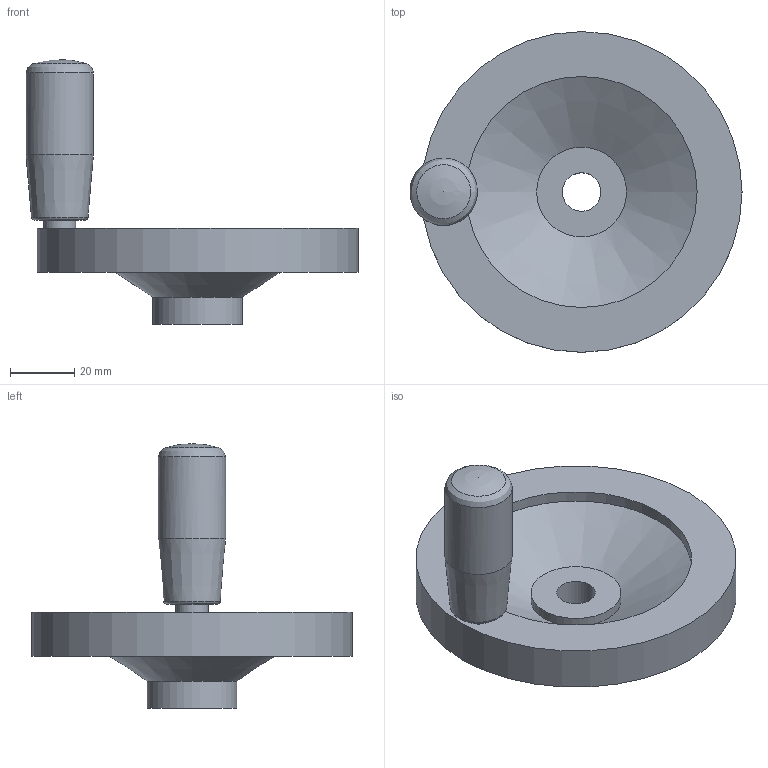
import cadquery as cq
import math

wheel_radius = 50.0
rim_top = 30.0
rim_bottom = 16.2
hub_radius = 14.0
hub_neck = 8.5
outer_cone_radius = 25.7
bowl_radius = 36.0
bowl_cone_top = 26.5
bowl_cone_bottom = 14.0
hub_top = 17.0
bore_radius = 6.0

handle_offset = 43.0
stem_radius = 5.0
stem_gap = 2.5
stem_embed = 5.0
grip_radius = 10.5
grip_length = 50.0
taper_length = 20.3
taper_end_radius = 8.75
taper_end_rounding = 1.0
crown_radius = 28.0
shoulder_rounding = 3.0

grip_bottom = rim_top + stem_gap
grip_top = grip_bottom + grip_length
taper_top = grip_bottom + taper_length


def make_wheel():
    profile = [
        (bore_radius, 0),
        (hub_radius, 0),
        (hub_radius, hub_neck),
        (outer_cone_radius, rim_bottom),
        (wheel_radius, rim_bottom),
        (wheel_radius, rim_top),
        (bowl_radius, rim_top),
        (bowl_radius, bowl_cone_top),
        (hub_radius, bowl_cone_bottom),
        (hub_radius, hub_top),
        (bore_radius, hub_top),
    ]
    return cq.Workplane("XZ").polyline(profile).close().revolve(360, (0, 0, 0), (0, 1, 0))


def crown_point(radius):
    """Point on the domed top at the given distance from the handle axis."""
    drop = crown_radius - math.sqrt(crown_radius**2 - radius**2)
    return (radius, grip_top - drop)


def make_grip():
    body = (
        cq.Workplane("XZ")
        .moveTo(0, grip_bottom)
        .lineTo(taper_end_radius, grip_bottom)
        .lineTo(grip_radius, taper_top)
        .lineTo(*crown_point(grip_radius))
        .threePointArc(crown_point(grip_radius / 2), crown_point(0))
        .close()
        .revolve(360, (0, 0, 0), (0, 1, 0))
    )
    body = body.faces("<Z").edges("%CIRCLE").fillet(taper_end_rounding)
    return body.faces(">Z").edges("%CIRCLE").fillet(shoulder_rounding)


def make_handle():
    stem = (
        cq.Workplane("XY")
        .workplane(offset=rim_top - stem_embed)
        .circle(stem_radius)
        .extrude(stem_embed + stem_gap)
    )
    return make_grip().union(stem).translate((-handle_offset, 0, 0))


result = make_wheel().union(make_handle())